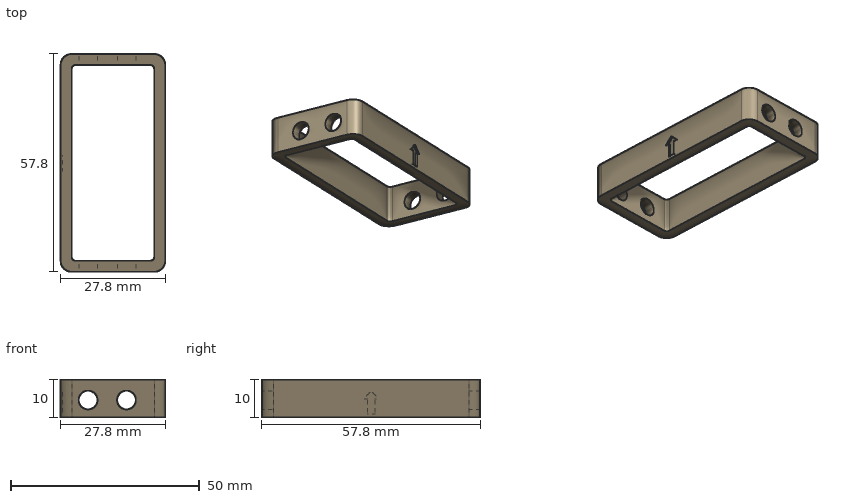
import cadquery as cq

width = 27.8
length = 57.8
height = 10.0
wall = 3.0
outer_radius = wall
inner_radius = 1.0

hole_diameter = 4.9
hole_height = 4.55
hole_positions = (-6.6, 3.6)

arrow_depth = 0.5
arrow_bottom = 1.0
arrow_shoulder = 4.95
arrow_tip = 7.0
shaft_half_width = 1.0
head_half_width = 2.0


def rounded_block(size_x, size_y, radius):
    return (
        cq.Workplane("XY")
        .rect(size_x, size_y)
        .extrude(height)
        .edges("|Z")
        .fillet(radius)
    )


def end_wall_holes():
    return (
        cq.Workplane("XZ")
        .pushPoints([(x, hole_height) for x in hole_positions])
        .circle(hole_diameter / 2)
        .extrude(length, both=True)
    )


def arrow():
    outline = [
        (-shaft_half_width, arrow_bottom),
        (shaft_half_width, arrow_bottom),
        (shaft_half_width, arrow_shoulder),
        (head_half_width, arrow_shoulder),
        (0, arrow_tip),
        (-head_half_width, arrow_shoulder),
        (-shaft_half_width, arrow_shoulder),
    ]
    return (
        cq.Workplane("YZ", origin=(-width / 2, 0, 0))
        .polyline(outline)
        .close()
        .extrude(arrow_depth)
    )


opening = rounded_block(width - 2 * wall, length - 2 * wall, inner_radius)
frame = rounded_block(width, length, outer_radius).cut(opening)
result = frame.cut(end_wall_holes()).cut(arrow())